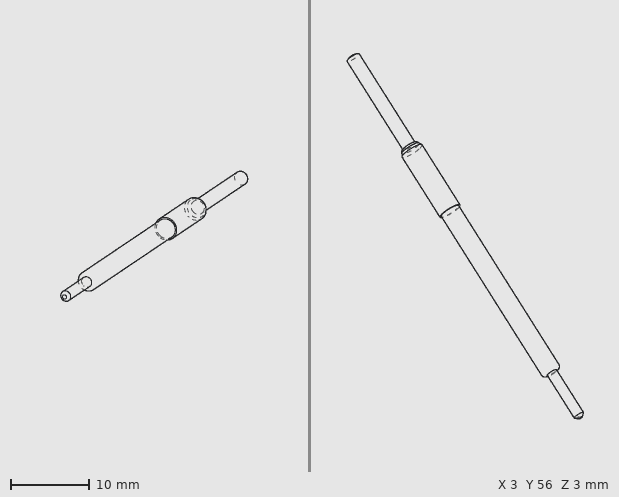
import cadquery as cq
import math

total_length = 56.0
plunger_length = 7.0
barrel_length = 25.0
collar_length = 10.0

plunger_diameter = 1.4
barrel_diameter = 2.65
collar_diameter = 3.0
tail_diameter = 1.85

plunger_nose_length = 0.4
plunger_flat_diameter = 0.55
barrel_round = 0.4
collar_lip_diameter = 2.6
collar_lip_round = 0.35
collar_taper_length = 0.4
tail_dome_height = 0.3

tip_y = -total_length / 2
nose_base_y = tip_y + plunger_nose_length
barrel_start_y = tip_y + plunger_length
collar_start_y = barrel_start_y + barrel_length
tail_start_y = collar_start_y + collar_length
collar_lip_y = tail_start_y - collar_lip_round
tail_end_y = tip_y + total_length

plunger_radius = plunger_diameter / 2
barrel_radius = barrel_diameter / 2
collar_radius = collar_diameter / 2
collar_lip_radius = collar_lip_diameter / 2
tail_radius = tail_diameter / 2

tail_dome_radius = (tail_radius**2 + tail_dome_height**2) / (2 * tail_dome_height)
dome_half_angle = math.asin(tail_radius / tail_dome_radius) / 2
dome_mid_radius = tail_dome_radius * math.sin(dome_half_angle)
dome_mid_y = tail_end_y - tail_dome_radius * (1 - math.cos(dome_half_angle))

half_profile = (
    cq.Workplane("XY")
    .moveTo(0, tip_y)
    .lineTo(plunger_flat_diameter / 2, tip_y)
    .lineTo(plunger_radius, nose_base_y)
    .lineTo(plunger_radius, barrel_start_y)
    .lineTo(barrel_radius - barrel_round, barrel_start_y)
    .radiusArc((barrel_radius, barrel_start_y + barrel_round), -barrel_round)
    .lineTo(barrel_radius, collar_start_y)
    .lineTo(collar_radius, collar_start_y)
    .lineTo(collar_radius, collar_lip_y - collar_taper_length)
    .lineTo(collar_lip_radius, collar_lip_y)
    .radiusArc((collar_lip_radius - collar_lip_round, tail_start_y), -collar_lip_round)
    .lineTo(tail_radius, tail_start_y)
    .lineTo(tail_radius, tail_end_y - tail_dome_height)
    .threePointArc((dome_mid_radius, dome_mid_y), (0, tail_end_y))
    .close()
)

result = half_profile.revolve(360, (0, 0, 0), (0, 1, 0))